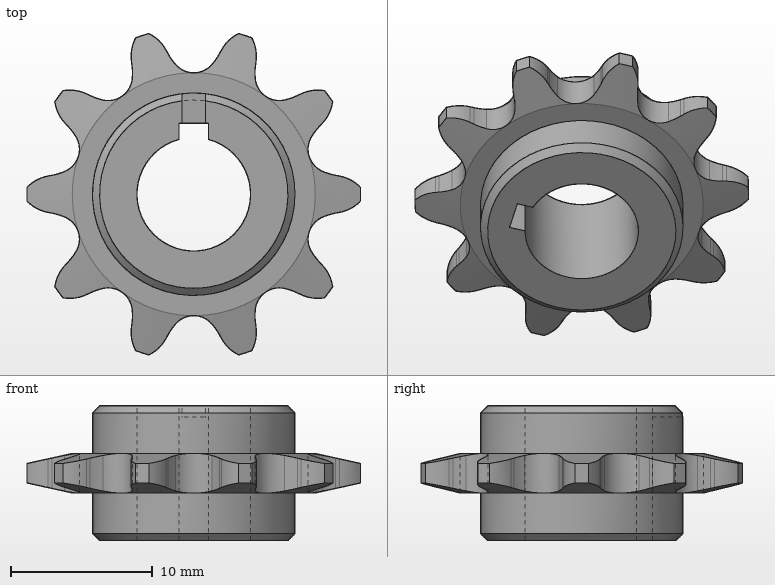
import cadquery as cq
import math

TOOTH_COUNT = 10
PITCH = 6.35
ROLLER_DIAMETER = 3.302

PLATE_THICKNESS = 2.8
TIP_THICKNESS = 1.38
TIP_RADIUS = 11.78

HUB_DIAMETER = 14.288
HUB_HEIGHT = 9.525
HUB_CHAMFER = 0.5

BORE_DIAMETER = 8.0
KEYWAY_WIDTH = 2.06
KEYWAY_TOP_Y = 5.0

NOTCH_WIDTH = 1.63
NOTCH_DEPTH = 0.8

HALF_TOOTH_ANGLE = math.radians(180 / TOOTH_COUNT)
PITCH_RADIUS = PITCH / (2 * math.sin(HALF_TOOTH_ANGLE))
SEAT_CLEARANCE = 0.0381
SEAT_RADIUS = 1.005 * ROLLER_DIAMETER / 2 + SEAT_CLEARANCE
SEAT_ANGLE = math.radians(35 + 60 / TOOTH_COUNT)
WORKING_ANGLE = math.radians(18 - 56 / TOOTH_COUNT)
WORKING_CENTER_DISTANCE = 0.8 * ROLLER_DIAMETER
TOPPING_CENTER_DISTANCE = 1.4 * ROLLER_DIAMETER
ROOT_RADIUS = PITCH_RADIUS - SEAT_RADIUS


def polar(center, radius, angle):
    """Point at a distance and an angle in radians from a centre."""
    return center[0] + radius * math.cos(angle), center[1] + radius * math.sin(angle)


def mirrored(point):
    """Point reflected across the Y axis."""
    return -point[0], point[1]


def make_blank():
    """Disc that is flat inside the root circle and tapers to thin tooth tips."""
    half_plate = PLATE_THICKNESS / 2
    half_tip = TIP_THICKNESS / 2
    profile = [
        (0, -half_plate),
        (ROOT_RADIUS, -half_plate),
        (TIP_RADIUS, -half_tip),
        (TIP_RADIUS, half_tip),
        (ROOT_RADIUS, half_plate),
        (0, half_plate),
    ]
    return cq.Workplane("XZ").polyline(profile).close().revolve(360, (0, 0, 0), (0, 1, 0))


def make_tooth_gap():
    """Cutter for the gap centred on +Y, reaching to the points of both teeth."""
    roller = (0, PITCH_RADIUS)
    flank_angle = SEAT_ANGLE - WORKING_ANGLE

    working_center = polar(roller, WORKING_CENTER_DISTANCE, SEAT_ANGLE)
    working_radius = WORKING_CENTER_DISTANCE + SEAT_RADIUS
    working_start = polar(roller, SEAT_RADIUS, math.pi + SEAT_ANGLE)
    working_middle = polar(working_center, working_radius, math.pi + SEAT_ANGLE - WORKING_ANGLE / 2)
    working_end = polar(working_center, working_radius, math.pi + flank_angle)

    topping_center = polar(roller, TOPPING_CENTER_DISTANCE, math.pi + HALF_TOOTH_ANGLE)
    offset_x = topping_center[0] - working_end[0]
    offset_y = topping_center[1] - working_end[1]
    topping_radius = -(offset_x * math.cos(flank_angle) + offset_y * math.sin(flank_angle))
    topping_start = polar(topping_center, topping_radius, flank_angle)

    point_offset = TOPPING_CENTER_DISTANCE - PITCH / 2
    point_angle = HALF_TOOTH_ANGLE + math.acos(point_offset / topping_radius)
    topping_middle = polar(topping_center, topping_radius, (flank_angle + point_angle) / 2)
    tooth_point = polar(topping_center, topping_radius, point_angle)
    outside = (0, 1.2 * TIP_RADIUS)

    return (
        cq.Workplane("XY", origin=(0, 0, -PLATE_THICKNESS))
        .moveTo(*tooth_point)
        .threePointArc(topping_middle, topping_start)
        .lineTo(*working_end)
        .threePointArc(working_middle, working_start)
        .threePointArc((0, ROOT_RADIUS), mirrored(working_start))
        .threePointArc(mirrored(working_middle), mirrored(working_end))
        .lineTo(*mirrored(topping_start))
        .threePointArc(mirrored(topping_middle), mirrored(tooth_point))
        .lineTo(*outside)
        .close()
        .extrude(2 * PLATE_THICKNESS)
    )


def make_toothed_plate():
    plate = make_blank()
    gap = make_tooth_gap()
    for index in range(TOOTH_COUNT):
        plate = plate.cut(gap.rotate((0, 0, 0), (0, 0, 1), index * 360 / TOOTH_COUNT))
    return plate


def make_hub():
    """Hub cylinder, chamfered at both ends."""
    return (
        cq.Workplane("XY")
        .cylinder(HUB_HEIGHT, HUB_DIAMETER / 2)
        .edges("%CIRCLE")
        .chamfer(HUB_CHAMFER)
    )


def make_bore():
    """Through bore with its keyway on the +Y side."""
    bore = cq.Workplane("XY").cylinder(HUB_HEIGHT, BORE_DIAMETER / 2)
    keyway = cq.Workplane("XY").box(
        KEYWAY_WIDTH, KEYWAY_TOP_Y, HUB_HEIGHT, centered=(True, False, True)
    )
    return bore.union(keyway)


def make_notch():
    return cq.Workplane("XY", origin=(0, 0, HUB_HEIGHT / 2 - NOTCH_DEPTH)).box(
        NOTCH_WIDTH, HUB_DIAMETER / 2, NOTCH_DEPTH, centered=(True, False, False)
    )


result = make_toothed_plate().union(make_hub()).cut(make_bore()).cut(make_notch())